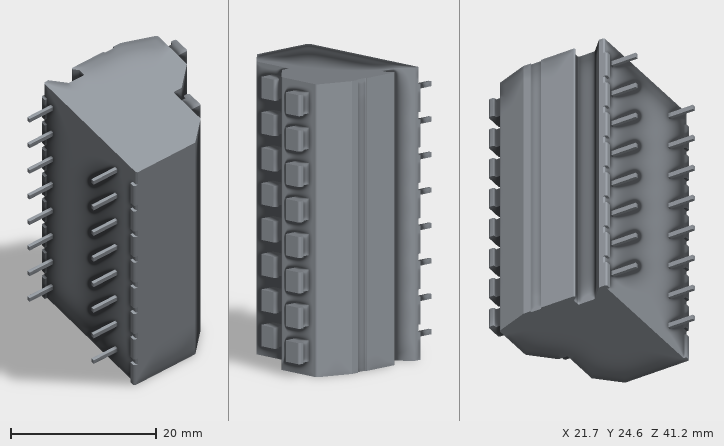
import cadquery as cq


POLES = 8
PITCH = 5.0
LENGTH = 41.2
WIDTH = 21.7

UPPER_DECK = 18.1
LOWER_DECK = 13.35
STEP_X = 12.05
BEVEL = 3.35
SIDE_TAPER_X = 1.85
SIDE_TAPER_Y = 13.05
UNDERSIDE_CHAMFER = 0.2

GROOVE_DEPTH = 0.25
GROOVE_CHAMFER = 0.12
GROOVE_BOTTOM = 10.2
GROOVE_TOP = 11.85

SLOT_DEPTH = 2.1
SLOT_TOP = 5.45
SLOT_SILL_Y = 0.82
SLOT_RAMP_TOP = 2.8
LIP_RAMP_X = 0.95
LIP_TIP_X = 0.3
LIP_TIP_Y = SLOT_TOP - (LIP_RAMP_X - LIP_TIP_X)

DECK_RADIUS = 0.4
CORNER_RADIUS = 0.2
TIP_RADIUS = 0.15

LEVER_X_UPPER = 3.35
LEVER_X_LOWER = 12.9
LEVER_WIDTH = 2.25
LEVER_HEIGHT = 2.4
LEVER_LENGTH = 2.95
LEVER_START_Z = 2.0
HOOK_OVERHANG = 0.55
HOOK_HEIGHT = 0.95
HOOK_TOP_RADIUS = 0.37
HOOK_LOWER_RADIUS = 0.25
LEVER_BACK_RADIUS = 0.2

FOOT_WIDTH = 0.85
FOOT_HEIGHT = 0.4
FOOT_LENGTH = 3.87

PIN_X_LEFT = 2.0
PIN_SPACING = 14.95
PIN_WIDTH = 0.5
PIN_THICKNESS = 0.7
PIN_LENGTH = 4.05
PIN_Z = 3.1

EMBED = 0.4


def round_corners(solid, corners, mid_z):
    """Fillet the edges parallel to Z that pass through the given (x, y, radius) corners."""
    for x, y, radius in corners:
        nearest = cq.NearestToPointSelector((x, y, mid_z))
        solid = solid.edges("|Z").edges(nearest).fillet(radius)
    return solid


def make_housing():
    outline = [
        (UNDERSIDE_CHAMFER, 0),
        (WIDTH - UNDERSIDE_CHAMFER, 0),
        (WIDTH, UNDERSIDE_CHAMFER),
        (WIDTH, LOWER_DECK - BEVEL),
        (WIDTH - BEVEL, LOWER_DECK),
        (STEP_X, LOWER_DECK),
        (STEP_X, UPPER_DECK - BEVEL),
        (STEP_X - BEVEL, UPPER_DECK),
        (SIDE_TAPER_X, UPPER_DECK),
        (0, SIDE_TAPER_Y),
        (0, GROOVE_TOP),
        (GROOVE_DEPTH, GROOVE_TOP),
        (GROOVE_DEPTH, GROOVE_BOTTOM + GROOVE_CHAMFER),
        (GROOVE_DEPTH - GROOVE_CHAMFER, GROOVE_BOTTOM),
        (0, GROOVE_BOTTOM),
        (0, LIP_TIP_Y),
        (LIP_TIP_X, LIP_TIP_Y),
        (LIP_RAMP_X, SLOT_TOP),
        (SLOT_DEPTH, SLOT_TOP),
        (SLOT_DEPTH, SLOT_RAMP_TOP),
        (0, SLOT_SILL_Y),
        (0, UNDERSIDE_CHAMFER),
    ]
    housing = cq.Workplane("XY").polyline(outline).close().extrude(LENGTH)
    rounded = [
        (SIDE_TAPER_X, UPPER_DECK, DECK_RADIUS),
        (STEP_X - BEVEL, UPPER_DECK, DECK_RADIUS),
        (STEP_X, LOWER_DECK, CORNER_RADIUS),
        (WIDTH, LOWER_DECK - BEVEL, DECK_RADIUS),
        (SLOT_DEPTH, SLOT_TOP, CORNER_RADIUS),
        (SLOT_DEPTH, SLOT_RAMP_TOP, CORNER_RADIUS),
        (0, LIP_TIP_Y, TIP_RADIUS),
        (LIP_TIP_X, LIP_TIP_Y, TIP_RADIUS),
    ]
    return round_corners(housing, rounded, LENGTH / 2)


def make_lever(stem_x, deck_y):
    hook_x = stem_x - HOOK_OVERHANG
    back_x = stem_x + LEVER_WIDTH
    top_y = deck_y + LEVER_HEIGHT
    hook_y = top_y - HOOK_HEIGHT
    outline = [
        (stem_x, deck_y - EMBED),
        (back_x, deck_y - EMBED),
        (back_x, top_y),
        (hook_x, top_y),
        (hook_x, hook_y),
        (stem_x, hook_y),
    ]
    lever = cq.Workplane("XY").polyline(outline).close().extrude(LEVER_LENGTH)
    rounded = [
        (back_x, top_y, LEVER_BACK_RADIUS),
        (hook_x, top_y, HOOK_TOP_RADIUS),
        (hook_x, hook_y, HOOK_LOWER_RADIUS),
    ]
    lever = round_corners(lever, rounded, LEVER_LENGTH / 2)
    return lever.translate((0, 0, LEVER_START_Z))


def make_left_foot():
    outline = [
        (0, EMBED),
        (0, UNDERSIDE_CHAMFER - FOOT_HEIGHT),
        (UNDERSIDE_CHAMFER, -FOOT_HEIGHT),
        (FOOT_WIDTH, -FOOT_HEIGHT),
        (FOOT_WIDTH, EMBED),
    ]
    return cq.Workplane("XY").polyline(outline).close().extrude(FOOT_LENGTH)


def make_pin(center_x):
    size_y = PIN_LENGTH + EMBED
    pin = cq.Workplane("XY").box(PIN_WIDTH, size_y, PIN_THICKNESS)
    return pin.translate((center_x, EMBED - size_y / 2, PIN_Z))


left_foot = make_left_foot()
right_foot = left_foot.mirror("YZ").translate((WIDTH, 0, 0))
pole_features = [
    make_lever(LEVER_X_UPPER, UPPER_DECK),
    make_lever(LEVER_X_LOWER, LOWER_DECK),
    left_foot,
    right_foot,
    make_pin(PIN_X_LEFT),
    make_pin(PIN_X_LEFT + PIN_SPACING),
]

result = make_housing()
for pole in range(POLES):
    for feature in pole_features:
        result = result.union(feature.translate((0, 0, pole * PITCH)))